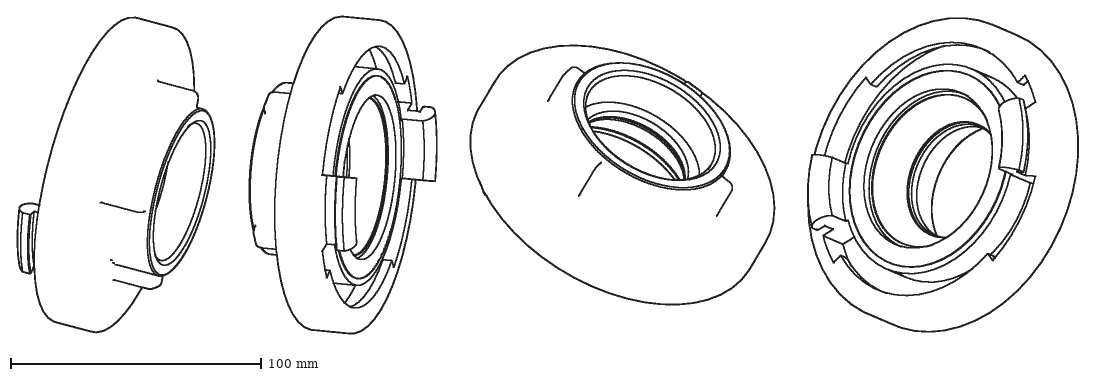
import cadquery as cq
import math


FLANGE_R = 63.0
FLANGE_T = 17.6
FLANGE_EDGE_R = 1.1
HUB_R = 34.5
HUB_END_X = 38.2
HUB_ROOT_R = 2.5
HUB_EDGE_C = 0.6

SEAL_R = 40.76
SEAL_RISE = 0.8
SEAL_BEVEL_W = 1.3
SEAL_INNER_R = 33.0
SEAL_STEP_X = 2.5

THROAT_R = 31.6
THROAT_LEDGE = 0.5
THROAT_MID_R = 27.8
THROAT_MID_X = 9.5
LIP_R = 24.0
LIP_X = 15.6
LIP_T = 1.0
GASKET_R = 23.5
GASKET_X = 17.8
GASKET_T = 3.3
THREAD_R = 28.4
THREAD_CHAMFER = 1.5

RECESS_INNER_R = 43.5
RECESS_OUTER_R = 56.8
RECESS_DEPTH = 12.6
RIM_R = 52.5
RIM_T = 3.8
LONG_GAP_ANGLE = 55.0
SHORT_GAP_ANGLE = 30.0

HOOK_HALF_ANGLE = 16.1
HOOK_INNER_R = 44.6
HOOK_STEM_R = 51.4
HOOK_HEAD_R = 55.3
HOOK_LENGTH = 11.8
HOOK_HEAD_T = 6.5
HOOK_CROWN = 3.2
HOOK_EDGE_C = 0.4
HOOK_ROOT_DEPTH = 1.1

RIB_COUNT = 4
RIB_FIRST_ANGLE = 60.0
RIB_W = 7.8
RIB_OUTER_R = 40.8
RIB_INNER_R = 30.2
RIB_END_X = 36.2
RIB_NOSE_R = 2.9
RIB_EDGE_R = 0.9
RIB_ROOT_R = 1.0

HALF_TURN = 180
FULL_TURN = 360
TOUCH_GAP = 0.0001


def sector(profile, start=0.0, end=FULL_TURN):
    """Turn an (x, radius) profile about X from one angle to another, measured from +Y to +Z."""
    turned = profile.close().revolve(end - start, (0, 0, 0), (1, 0, 0))
    return turned.rotate((0, 0, 0), (1, 0, 0), start)


def ring(x_start, x_end, r_inner, r_outer, start=0.0, end=FULL_TURN):
    """Make a plain ring, or part of one."""
    points = [(x_start, r_inner), (x_end, r_inner), (x_end, r_outer), (x_start, r_outer)]
    return sector(cq.Workplane("XY").polyline(points), start, end)


def outer_body():
    diagonal = math.sqrt(0.5)
    root_mid = HUB_ROOT_R * (1 - diagonal)
    edge_mid = FLANGE_EDGE_R * (1 - diagonal)
    profile = (
        cq.Workplane("XY")
        .moveTo(-SEAL_RISE, 0)
        .lineTo(-SEAL_RISE, SEAL_R - SEAL_BEVEL_W)
        .lineTo(-SEAL_RISE / 2, SEAL_R)
        .lineTo(0, SEAL_R)
        .lineTo(0, FLANGE_R - FLANGE_EDGE_R)
        .threePointArc((edge_mid, FLANGE_R - edge_mid), (FLANGE_EDGE_R, FLANGE_R))
        .lineTo(FLANGE_T - FLANGE_EDGE_R, FLANGE_R)
        .threePointArc((FLANGE_T - edge_mid, FLANGE_R - edge_mid), (FLANGE_T, FLANGE_R - FLANGE_EDGE_R))
        .lineTo(FLANGE_T, HUB_R + HUB_ROOT_R)
        .threePointArc((FLANGE_T + root_mid, HUB_R + root_mid), (FLANGE_T + HUB_ROOT_R, HUB_R))
        .lineTo(HUB_END_X - HUB_EDGE_C, HUB_R)
        .lineTo(HUB_END_X, HUB_R - HUB_EDGE_C)
        .lineTo(HUB_END_X, 0)
    )
    return sector(profile)


def rib(angle):
    """Make one rib with a rounded nose, running from the flange and starting inside the hub wall."""
    length = RIB_END_X - FLANGE_T
    block = (
        cq.Workplane("XY")
        .box(length, RIB_OUTER_R - RIB_INNER_R, RIB_W, centered=(False, False, True))
        .translate((FLANGE_T, RIB_INNER_R, 0))
    )
    block = block.edges(">X and >Y").fillet(RIB_NOSE_R)
    block = block.faces(">Y").edges("|X").fillet(RIB_EDGE_R)
    return block.rotate((0, 0, 0), (1, 0, 0), angle)


def add_ribs(body):
    """Join the ribs to the hub and round the corners where they meet it and the flange."""
    joined = body
    ribs = [rib(RIB_FIRST_ANGLE + FULL_TURN / RIB_COUNT * i) for i in range(RIB_COUNT)]
    for one_rib in ribs:
        joined = joined.union(one_rib)

    def touches(point, solid):
        return cq.Vertex.makeVertex(*point.toTuple()).distance(solid.val()) < TOUCH_GAP

    corners = []
    for edge in joined.edges().vals():
        middle = edge.positionAt(0.5)
        if touches(middle, body) and any(touches(middle, one_rib) for one_rib in ribs):
            corners.append(edge)
    return joined.newObject(corners).fillet(RIB_ROOT_R)


def bore():
    profile = (
        cq.Workplane("XY")
        .moveTo(-SEAL_RISE, 0)
        .lineTo(-SEAL_RISE, SEAL_INNER_R)
        .lineTo(SEAL_STEP_X, SEAL_INNER_R)
        .lineTo(SEAL_STEP_X, THROAT_R)
        .lineTo(SEAL_STEP_X + THROAT_LEDGE, THROAT_R)
        .threePointArc((THROAT_MID_X, THROAT_MID_R), (LIP_X, LIP_R))
        .lineTo(LIP_X + LIP_T, LIP_R)
        .lineTo(LIP_X + LIP_T, THREAD_R)
        .lineTo(GASKET_X, THREAD_R)
        .lineTo(GASKET_X, GASKET_R)
        .lineTo(GASKET_X + GASKET_T, GASKET_R)
        .lineTo(GASKET_X + GASKET_T, THREAD_R)
        .lineTo(HUB_END_X - THREAD_CHAMFER, THREAD_R)
        .lineTo(HUB_END_X, THREAD_R + THREAD_CHAMFER)
        .lineTo(HUB_END_X, 0)
    )
    return sector(profile)


def recess_half():
    """Make the cut between one hook and the next: undercut, rim opening and two entry gaps."""
    start = HOOK_HALF_ANGLE
    end = HALF_TURN - HOOK_HALF_ANGLE
    undercut = ring(RIM_T, RECESS_DEPTH, RECESS_INNER_R, RECESS_OUTER_R, start, end)
    opening = ring(0, RIM_T, RECESS_INNER_R, RIM_R, start, end)
    long_gap = ring(0, RIM_T, RECESS_INNER_R, RECESS_OUTER_R, start, LONG_GAP_ANGLE)
    short_gap = ring(0, RIM_T, RECESS_INNER_R, RECESS_OUTER_R, HALF_TURN - SHORT_GAP_ANGLE, end)
    return undercut.union(opening).union(long_gap).union(short_gap)


def hook():
    tip_x = -HOOK_LENGTH
    shoulder_x = tip_x + HOOK_CROWN
    underside_x = tip_x + HOOK_HEAD_T
    profile = (
        cq.Workplane("XY")
        .moveTo(HOOK_ROOT_DEPTH, HOOK_INNER_R)
        .lineTo(shoulder_x, HOOK_INNER_R)
        .threePointArc((tip_x, (HOOK_INNER_R + HOOK_HEAD_R) / 2), (shoulder_x, HOOK_HEAD_R))
        .lineTo(underside_x - HOOK_EDGE_C, HOOK_HEAD_R)
        .lineTo(underside_x, HOOK_HEAD_R - HOOK_EDGE_C)
        .lineTo(underside_x, HOOK_STEM_R)
        .lineTo(HOOK_ROOT_DEPTH, HOOK_STEM_R)
    )
    return sector(profile, -HOOK_HALF_ANGLE, HOOK_HALF_ANGLE)


result = add_ribs(outer_body()).cut(bore())
for turn in (0, HALF_TURN):
    result = result.cut(recess_half().rotate((0, 0, 0), (1, 0, 0), turn))
    result = result.union(hook().rotate((0, 0, 0), (1, 0, 0), turn))